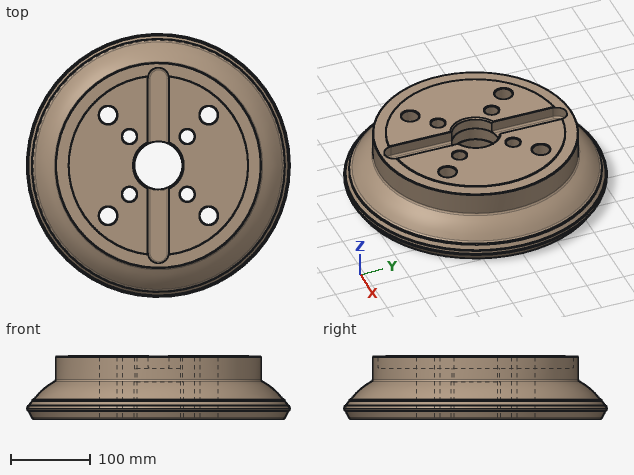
import cadquery as cq
import math

wheel_diameter = 330.8
wheel_height = 80.0
wheel_radius = wheel_diameter / 2

hub_diameter = 258.5
hub_radius = hub_diameter / 2
pad_diameter = 226.0
pad_height = 1.0
pad_chamfer = 0.5
hub_top_z = wheel_height - pad_height
hub_edge_chamfer = 1.0

blend_top_z = 50.3
blend_bottom_radius = 130.5
blend_bottom_z = 47.5
blend_middle_radius = hub_radius + 0.3
blend_middle_z = 48.5

shoulder_middle_radius = 145.0
shoulder_middle_z = 37.7
shoulder_end_radius = 155.5
shoulder_end_z = 26.5

land_outer_radius = 158.5
land_outer_z = 24.5
lip_bottom_radius = 159.0
lip_bottom_z = 22.5
seat_diameter = 326.0
seat_radius = seat_diameter / 2
seat_top_z = 17.5
seat_bottom_z = 10.0
lower_cone_radius = 159.5
lower_cone_z = 2.5
bottom_radius = 157.5

ring_top_z = 17.0
ring_bottom_z = 10.5
ring_nose_z = 13.5
ring_side_radius = 164.5

bore_mouth_diameter = 64.2
bore_upper_diameter = 60.2
bore_lower_diameter = 60.0
bore_relief_diameter = 62.0
bore_relief_top_z = 47.0

slot_width = 26.0
slot_end_radius = 122.7
slot_floor_z = 64.2
slot_floor_fillet = 2.3

holes_per_circle = 4
first_hole_angle = 45.0
hole_chamfer = 1.0
inner_hole_diameter = 18.0
inner_hole_circle_radius = 51.3
outer_hole_diameter = 22.0
outer_hole_circle_radius = 89.3


def make_slot_cutter():
    """Round-ended bar reaching the top of the pad, with rounded lower edges."""
    return (
        cq.Workplane("XY", origin=(0, 0, slot_floor_z))
        .slot2D(2 * slot_end_radius, slot_width, 90)
        .extrude(wheel_height - slot_floor_z)
        .faces("<Z")
        .edges()
        .fillet(slot_floor_fillet)
    )


def make_turned_blank():
    """Hub, shoulder and rim as one turned shape."""
    return (
        cq.Workplane("XZ")
        .moveTo(0, 0)
        .lineTo(bottom_radius, 0)
        .lineTo(lower_cone_radius, lower_cone_z)
        .lineTo(seat_radius, seat_bottom_z)
        .lineTo(seat_radius, seat_top_z)
        .lineTo(lip_bottom_radius, lip_bottom_z)
        .lineTo(land_outer_radius, land_outer_z)
        .lineTo(shoulder_end_radius, shoulder_end_z)
        .threePointArc(
            (shoulder_middle_radius, shoulder_middle_z),
            (blend_bottom_radius, blend_bottom_z),
        )
        .threePointArc(
            (blend_middle_radius, blend_middle_z),
            (hub_radius, blend_top_z),
        )
        .lineTo(hub_radius, hub_top_z - hub_edge_chamfer)
        .lineTo(hub_radius - hub_edge_chamfer, hub_top_z)
        .lineTo(0, hub_top_z)
        .close()
        .revolve(360, (0, 0), (0, 1))
    )


def make_pad(slot_cutter):
    """Raised pad, split in two by the slot and chamfered around its top edges."""
    pad = (
        cq.Workplane("XY", origin=(0, 0, hub_top_z))
        .circle(pad_diameter / 2)
        .extrude(pad_height)
    )
    return pad.cut(slot_cutter).faces(">Z").edges().chamfer(pad_chamfer)


def make_bore_cutter():
    """Stepped bore with a conical mouth and a relief at the bottom."""
    mouth_radius = bore_mouth_diameter / 2
    upper_radius = bore_upper_diameter / 2
    lower_radius = bore_lower_diameter / 2
    relief_radius = bore_relief_diameter / 2
    mouth_depth = mouth_radius - upper_radius
    return (
        cq.Workplane("XZ")
        .moveTo(0, 0)
        .lineTo(relief_radius, 0)
        .lineTo(relief_radius, bore_relief_top_z)
        .lineTo(lower_radius, bore_relief_top_z)
        .lineTo(lower_radius, slot_floor_z)
        .lineTo(upper_radius, slot_floor_z)
        .lineTo(upper_radius, wheel_height - mouth_depth)
        .lineTo(mouth_radius, wheel_height)
        .lineTo(0, wheel_height)
        .close()
        .revolve(360, (0, 0), (0, 1))
    )


def make_hole_cutters(hole_diameter, circle_radius):
    """Four through holes, each with a chamfered mouth on the pad."""
    hole_radius = hole_diameter / 2
    cutter = (
        cq.Workplane("XZ")
        .moveTo(0, 0)
        .lineTo(hole_radius, 0)
        .lineTo(hole_radius, wheel_height - hole_chamfer)
        .lineTo(hole_radius + hole_chamfer, wheel_height)
        .lineTo(0, wheel_height)
        .close()
        .revolve(360, (0, 0), (0, 1))
    )
    cutters = []
    for index in range(holes_per_circle):
        angle = math.radians(first_hole_angle + index * 360 / holes_per_circle)
        place = (circle_radius * math.cos(angle), circle_radius * math.sin(angle), 0)
        cutters.append(cutter.translate(place))
    return cutters


def make_hub():
    """Wheel body carrying the abrasive ring."""
    slot_cutter = make_slot_cutter()
    hub = make_turned_blank().cut(slot_cutter).union(make_pad(slot_cutter))
    hub = hub.cut(make_bore_cutter())
    for cutter in make_hole_cutters(inner_hole_diameter, inner_hole_circle_radius):
        hub = hub.cut(cutter)
    for cutter in make_hole_cutters(outer_hole_diameter, outer_hole_circle_radius):
        hub = hub.cut(cutter)
    return hub


def make_abrasive_ring():
    """Thin ring with a pointed rim, fitted around the cylindrical seat of the hub."""
    return (
        cq.Workplane("XZ")
        .moveTo(seat_radius, ring_bottom_z)
        .lineTo(ring_side_radius, ring_bottom_z)
        .lineTo(wheel_radius, ring_nose_z)
        .lineTo(ring_side_radius, ring_top_z)
        .lineTo(seat_radius, ring_top_z)
        .close()
        .revolve(360, (0, 0), (0, 1))
    )


hub = make_hub()
abrasive_ring = make_abrasive_ring()

result = cq.Compound.makeCompound([hub.val(), abrasive_ring.val()])